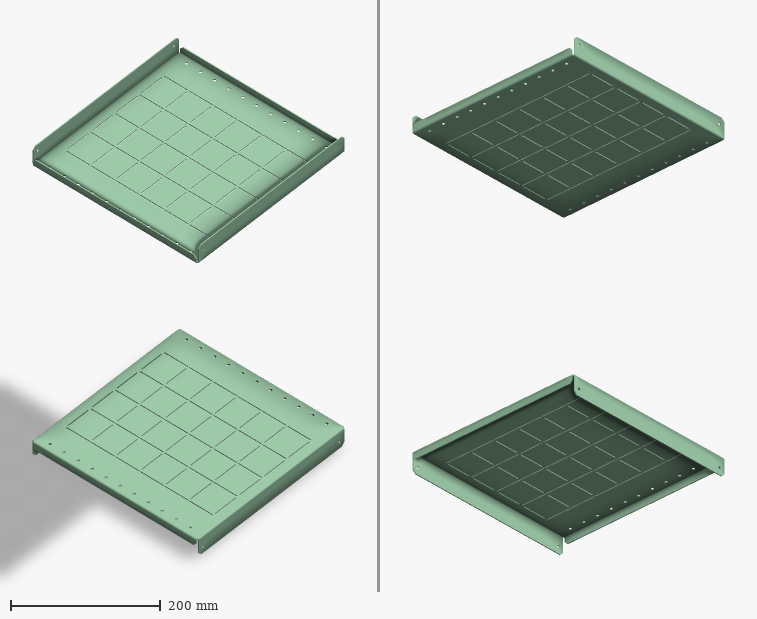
import cadquery as cq
import math

WIDTH = 297.0
DEPTH = 299.0
STACK_HEIGHT = 562.0

SHEET = 1.5
BEND_RADIUS = 2.5
SIDE_FLANGE_HEIGHT = 31.0
END_LIP_HEIGHT = 13.5
CORNER_CHAMFER = 5.0

HOLE_DIAMETER = 4.5
HOLE_ROW_Y = 137.5
PLATE_HOLE_COUNT = 11
PLATE_HOLE_PITCH = 2 * HOLE_ROW_Y / PLATE_HOLE_COUNT
FLANGE_HOLE_HEIGHT = 19.5

COLUMNS = 6
ROWS = 4
COLUMN_PITCH = 44.0
ROW_PITCH = 49.5
SLOT_LENGTH_X = 42.0
SLOT_LENGTH_Y = 40.5
SLOT_WIDTH = 1.5

PLATE_WIDTH = WIDTH - 2 * BEND_RADIUS
PLATE_DEPTH = DEPTH - 2 * BEND_RADIUS


def bent_flange(span, height):
    """Flange along Y that leaves the plate edge at X = 0, bends up and ends at Z = height."""
    inner_radius = BEND_RADIUS - SHEET
    mid_bend = math.sin(math.radians(45))
    profile = (
        cq.Workplane("XZ")
        .threePointArc((BEND_RADIUS * mid_bend, BEND_RADIUS * (1 - mid_bend)),
                       (BEND_RADIUS, BEND_RADIUS))
        .lineTo(BEND_RADIUS, height)
        .lineTo(inner_radius, height)
        .lineTo(inner_radius, BEND_RADIUS)
        .threePointArc((inner_radius * mid_bend, BEND_RADIUS - inner_radius * mid_bend),
                       (0, SHEET))
        .close()
    )
    flange = profile.extrude(span / 2, both=True)
    return flange.edges("|X").edges(">Z").chamfer(CORNER_CHAMFER)


def folded_sheet():
    """Plate with a flange on each X side and a lip on each Y end, all folded up."""
    sheet = cq.Workplane("XY").box(PLATE_WIDTH, PLATE_DEPTH, SHEET, centered=(True, True, False))
    side_flange = bent_flange(PLATE_DEPTH, SIDE_FLANGE_HEIGHT).translate((PLATE_WIDTH / 2, 0, 0))
    end_lip = bent_flange(PLATE_WIDTH, END_LIP_HEIGHT).translate((PLATE_DEPTH / 2, 0, 0))
    for turn in (0, 180):
        sheet = sheet.union(side_flange.rotate((0, 0, 0), (0, 0, 1), turn))
        sheet = sheet.union(end_lip.rotate((0, 0, 0), (0, 0, 1), turn + 90))
    return sheet


def centred_positions(count, pitch):
    """Evenly spaced positions, symmetric about zero."""
    return [(i - (count - 1) / 2) * pitch for i in range(count)]


def plate_hole_cutter():
    """A row of holes near each Y end of the plate."""
    points = [(x, y) for x in centred_positions(PLATE_HOLE_COUNT, PLATE_HOLE_PITCH)
              for y in (-HOLE_ROW_Y, HOLE_ROW_Y)]
    return cq.Workplane("XY").pushPoints(points).circle(HOLE_DIAMETER / 2).extrude(SHEET)


def flange_hole_cutter():
    """Two holes through both side flanges."""
    points = [(y, FLANGE_HOLE_HEIGHT) for y in (-HOLE_ROW_Y, HOLE_ROW_Y)]
    return cq.Workplane("YZ").pushPoints(points).circle(HOLE_DIAMETER / 2).extrude(WIDTH / 2, both=True)


def slot_grid_cutter():
    """Slots along the sides of every cell of the grid, with sheet left between their ends."""
    along_x = [(x, y) for x in centred_positions(COLUMNS, COLUMN_PITCH)
               for y in centred_positions(ROWS + 1, ROW_PITCH)]
    along_y = [(x, y) for x in centred_positions(COLUMNS + 1, COLUMN_PITCH)
               for y in centred_positions(ROWS, ROW_PITCH)]
    slots_along_x = cq.Workplane("XY").pushPoints(along_x).rect(SLOT_LENGTH_X, SLOT_WIDTH).extrude(SHEET)
    slots_along_y = cq.Workplane("XY").pushPoints(along_y).rect(SLOT_WIDTH, SLOT_LENGTH_Y).extrude(SHEET)
    return cq.Compound.makeCompound([*slots_along_x.vals(), *slots_along_y.vals()])


def make_tray():
    """One tray with its plate's outer face at Z = 0 and its flanges up."""
    tray = folded_sheet()
    tray = tray.cut(plate_hole_cutter())
    tray = tray.cut(flange_hole_cutter())
    return tray.cut(cq.Workplane(slot_grid_cutter()))


def make_trays():
    """Two equal trays back to back: flanges up on the upper one, down on the lower one."""
    plate_level = STACK_HEIGHT / 2 - SIDE_FLANGE_HEIGHT
    trays = []
    for turn in (0, 180):
        tray = make_tray().translate((0, 0, plate_level))
        trays.append(tray.rotate((0, 0, 0), (1, 0, 0), turn))
    return trays


trays = make_trays()
result = cq.Compound.makeCompound([tray.val() for tray in trays])